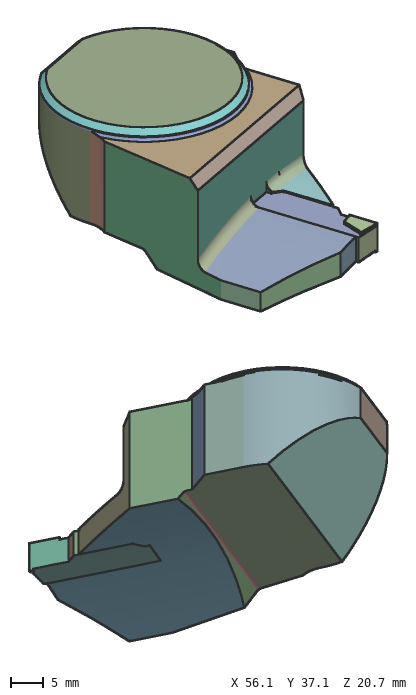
import cadquery as cq
import math


body_radius = 16.0
flat_x = -15.0
block_top = 16.0
disc_top = 17.65
disc_radius = 15.95
disc_chamfer = 1.0
cove_radius = 0.5
nose_chamfer = 11.2
rear_step_start = 6.4
block_rear_y = 12.6
block_rear_x = 19.9
rear_step_end = rear_step_start + body_radius - block_rear_y
wall_x = 21.5
wall_chamfer = 1.55
flank_blend_radius = 5.05
flank_start_x = 3.2

arm_front_y = -21.05
arm_front_left_x = 26.1
arm_front_right_x = 33.05
arm_end_x = 40.0
arm_end_low_y = -8.9
arm_rear_x = 32.55
arm_axis_y = 0.95
arm_top = 4.1
arm_top_radius = 66.75
arm_bottom = -0.4
arm_bottom_radius = 93.1
arm_root_fillet = 1.5
heel_x = 10.95
heel_fillet = 1.0
base_z = -3.35
tool_end_x = 44.9
body_depth = 25.25

insert_front_y = -4.45
insert_rear_y = 1.55
tip_y = 0.15
tip_foot_bottom = -0.7
tip_foot_width = 0.5
insert_top = 3.85
insert_notch_x = 22.3
insert_bevel = insert_rear_y - tip_y
insert_bevel_x = 33.3
insert_heel_x = 40.5
tip_x = 56.1 + flat_x
land_height = 0.4
land_start_x = 36.2
land_back = (36.5, -2.0)
land_front = (40.4, -3.5)


def plan_outline():
    """Plan shape shared by the shank, block and arm, extruded past both faces."""
    flat_half = math.sqrt(body_radius**2 - flat_x**2)
    blend_angle = math.asin(flank_start_x / flank_blend_radius)
    blend_centre_y = -body_radius - flank_blend_radius
    blend_mid = (
        flank_blend_radius * math.sin(blend_angle / 2),
        blend_centre_y + flank_blend_radius * math.cos(blend_angle / 2),
    )
    blend_end_y = -body_radius - flank_blend_radius * (1 - math.cos(blend_angle))
    rear_mid = (-body_radius * math.sin(math.pi / 6), body_radius * math.cos(math.pi / 6))
    return (
        cq.Workplane("XY", origin=(0, 0, base_z))
        .moveTo(flat_x, -flat_half)
        .lineTo(flat_x, flat_half)
        .threePointArc(rear_mid, (0, body_radius))
        .lineTo(rear_step_start, body_radius)
        .lineTo(rear_step_end, block_rear_y)
        .lineTo(block_rear_x, block_rear_y)
        .lineTo(arm_rear_x, insert_rear_y)
        .lineTo(arm_end_x, insert_front_y)
        .lineTo(arm_end_x, arm_end_low_y)
        .lineTo(arm_front_right_x, arm_front_y)
        .lineTo(arm_front_left_x, arm_front_y)
        .lineTo(flank_start_x, blend_end_y)
        .threePointArc(blend_mid, (0, -body_radius))
        .threePointArc((rear_mid[0], -rear_mid[1]), (flat_x, -flat_half))
        .close()
        .extrude(disc_top - base_z)
    )


def side_profile():
    """Side shape with the sloped nose and the step down to the arm."""
    profile = (
        cq.Workplane("XZ", origin=(0, body_depth, 0))
        .polyline([
            (flat_x, nose_chamfer),
            (flat_x + nose_chamfer, 0),
            (heel_x, 0),
            (heel_x - base_z, base_z),
            (tool_end_x, base_z),
            (tool_end_x, block_top),
            (flat_x, block_top),
        ])
        .close()
        .extrude(2 * body_depth)
    )
    heel_edge = cq.selectors.NearestToPointSelector((heel_x, 0, 0))
    return profile.edges(heel_edge).fillet(heel_fillet)


def arch_height(apex_z, radius, y):
    """Height at y of an arch whose crown lies at the arm axis."""
    return apex_z - radius + math.sqrt(radius**2 - (y - arm_axis_y) ** 2)


def arch_block(start_x, apex_z, radius, far_z):
    """Block from start_x to the tool end, between an arch and a flat level."""
    left, right = -body_depth, body_depth
    return (
        cq.Workplane("YZ", origin=(start_x, 0, 0))
        .moveTo(left, arch_height(apex_z, radius, left))
        .threePointArc((arm_axis_y, apex_z), (right, arch_height(apex_z, radius, right)))
        .lineTo(right, far_z)
        .lineTo(left, far_z)
        .close()
        .extrude(tool_end_x - start_x)
    )


def space_above_arm():
    """Clearance over the arm, with a rounded root and the wall's top chamfer."""
    root = cq.selectors.NearestToPointSelector((wall_x, arm_axis_y, arm_top))
    clearance = arch_block(wall_x, arm_top, arm_top_radius, disc_top)
    clearance = clearance.edges(root).fillet(arm_root_fillet)
    bevel = (
        cq.Workplane("XZ", origin=(0, body_depth, 0))
        .moveTo(wall_x, block_top - wall_chamfer)
        .lineTo(wall_x, block_top)
        .lineTo(wall_x - wall_chamfer, block_top)
        .close()
        .extrude(2 * body_depth)
    )
    return clearance.union(bevel)


def disc_with_cove():
    """Chamfered disc above the block, with a concave flare at its foot."""
    foot_radius = disc_radius + cove_radius
    cove_reach = cove_radius * (1 - math.sqrt(0.5))
    disc = (
        cq.Workplane("XZ")
        .moveTo(0, block_top)
        .lineTo(foot_radius, block_top)
        .threePointArc(
            (disc_radius + cove_reach, block_top + cove_reach),
            (disc_radius, block_top + cove_radius),
        )
        .lineTo(disc_radius, disc_top - disc_chamfer)
        .lineTo(disc_radius - disc_chamfer, disc_top)
        .lineTo(0, disc_top)
        .close()
        .revolve(360, (0, 0, 0), (0, 1, 0))
    )
    flat_profile = (
        cq.Workplane("XZ", origin=(0, body_depth, 0))
        .moveTo(flat_x, block_top)
        .lineTo(flat_x, disc_top - disc_chamfer)
        .lineTo(flat_x + disc_chamfer, disc_top)
        .lineTo(tool_end_x, disc_top)
        .lineTo(tool_end_x, block_top)
        .close()
        .extrude(2 * body_depth)
    )
    return disc.intersect(flat_profile)


def insert_outline(bottom, top):
    """Insert plan shape between two levels."""
    return (
        cq.Workplane("XY", origin=(0, 0, bottom))
        .polyline([
            (wall_x, insert_front_y),
            (insert_heel_x, insert_front_y),
            (tip_x, tip_y),
            (insert_bevel_x + insert_bevel, tip_y),
            (insert_bevel_x, insert_rear_y),
            (insert_notch_x + insert_bevel, insert_rear_y),
            (insert_notch_x, tip_y),
            (wall_x, tip_y),
        ])
        .close()
        .extrude(top - bottom)
    )


def make_holder():
    """Shank, disc and arm with a slot for the insert."""
    plan = plan_outline()
    block = plan.intersect(side_profile())
    block = block.cut(arch_block(heel_x, arm_bottom, arm_bottom_radius, 2 * base_z))
    block = block.cut(space_above_arm())
    disc = disc_with_cove().intersect(plan)
    slot_top = arm_top + arm_root_fillet
    return block.union(disc).cut(insert_outline(2 * base_z, slot_top))


def make_insert():
    """Flat insert with a raised cutting land and a small foot at its tip."""
    underside = arch_block(wall_x, arm_bottom, arm_bottom_radius, 2 * base_z)
    plate = insert_outline(base_z, insert_top).cut(underside)
    land = (
        cq.Workplane("XY", origin=(0, 0, insert_top))
        .polyline([(land_start_x, tip_y), land_back, land_front, (tip_x, tip_y)])
        .close()
        .extrude(land_height)
    )
    foot_setback = tip_foot_width * (tip_x - insert_heel_x) / (tip_y - insert_front_y)
    foot = (
        cq.Workplane("XY", origin=(0, 0, tip_foot_bottom))
        .polyline([
            (insert_heel_x, tip_y),
            (insert_heel_x, tip_y - tip_foot_width),
            (tip_x - foot_setback, tip_y - tip_foot_width),
            (tip_x, tip_y),
        ])
        .close()
        .extrude(-tip_foot_bottom)
    )
    return plate.union(land).union(foot)


holder = make_holder()
insert = make_insert()
result = cq.Compound.makeCompound([holder.solids().val(), insert.solids().val()])